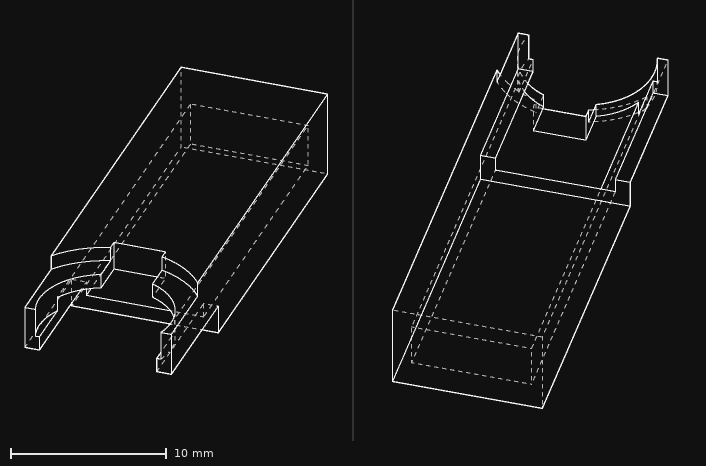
import cadquery as cq

length = 30
height = length / 5
width = length / 3
wall = height / 6

underside_step_length = 9 * wall
underside_step_height = 2 * wall

cavity_width = width - 2 * wall
cavity_top = 4 * wall
cavity_depth = length - wall

seat_center_y = 1.38
seat_radius = 4.5
seat_floor = 3 * wall
rim_radius = 6.2
rim_floor = height - wall

notch_width = 3.5
notch_end_y = 8 * wall


def front_box(box_width, depth, bottom, top):
    """Box centred on X, running back from the fork tips between two heights."""
    return (
        cq.Workplane("XY")
        .box(box_width, depth, top - bottom, centered=(True, False, False))
        .translate((0, 0, bottom))
    )


def seat_cylinder(radius, bottom):
    """Vertical cylinder on the seat axis, reaching up to the top face."""
    return (
        cq.Workplane("XY", origin=(0, seat_center_y, bottom))
        .circle(radius)
        .extrude(height - bottom)
    )


body = front_box(width, length, 0, height)
underside_step = front_box(width, underside_step_length, 0, underside_step_height)
cavity = front_box(cavity_width, cavity_depth, wall, cavity_top)
notch = front_box(notch_width, notch_end_y, cavity_top, height)

result = (
    body.cut(underside_step)
    .cut(cavity)
    .cut(seat_cylinder(seat_radius, seat_floor))
    .cut(seat_cylinder(rim_radius, rim_floor))
    .cut(notch)
)